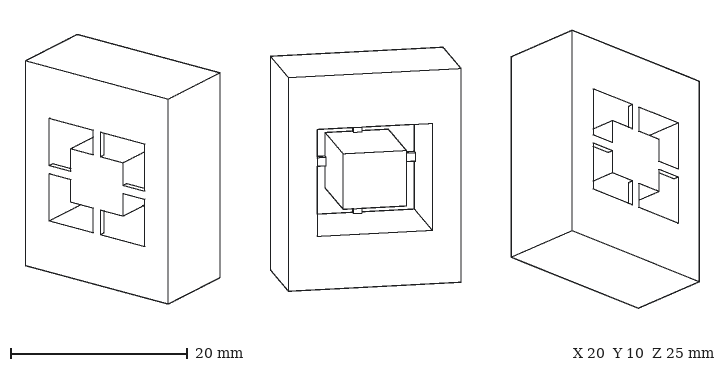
import cadquery as cq

width = 20.0
depth = 10.0
height = 25.0

window_width = width * 2 / 3
window_height = height / 2
core_gap = 3.0
core_width = window_width - 2 * core_gap
core_height = window_height - 2 * core_gap

rib_thickness = 1.0
rib_depth = 0.7


def centred_bar(size_x, size_z, size_y):
    """Bar centred in X and Z that starts at the front face and runs back by size_y."""
    front_face = cq.Workplane("XZ", origin=(0, -depth / 2, 0))
    return front_face.rect(size_x, size_z).extrude(-size_y)


block = centred_bar(width, height, depth)
window = centred_bar(window_width, window_height, depth)
core = centred_bar(core_width, core_height, depth)
vertical_ribs = centred_bar(rib_thickness, window_height, rib_depth)
horizontal_ribs = centred_bar(window_width, rib_thickness, rib_depth)

result = block.cut(window).union(core).union(vertical_ribs).union(horizontal_ribs)